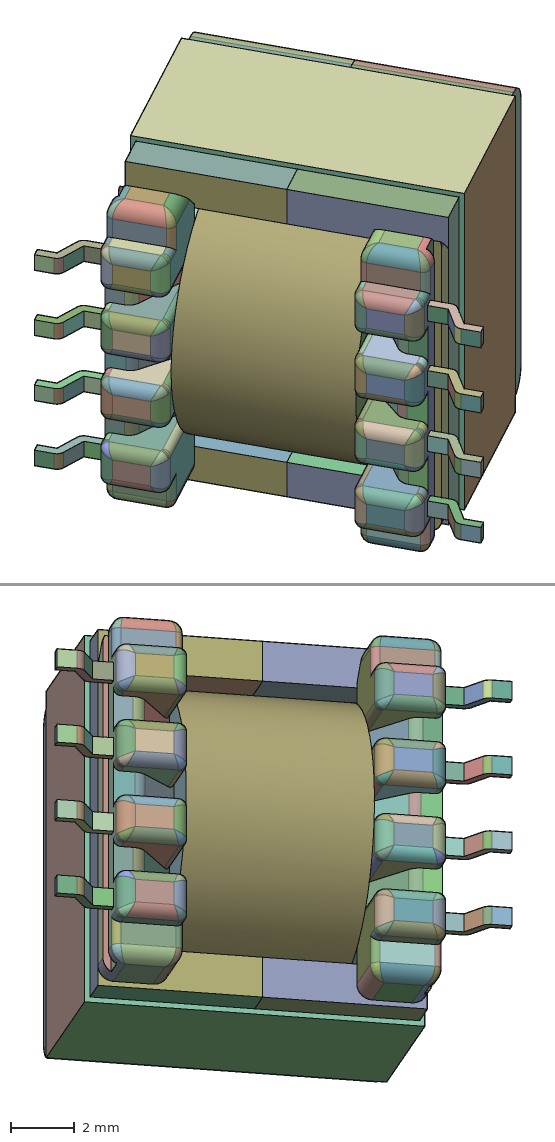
import cadquery as cq
import math


CORE_WIDTH = 10.57
CORE_HEIGHT = 11.78
CORE_FRONT_Y = -1.97
CORE_BACK_Y = 5.93
CORE_BACK_RADIUS = 0.8
CAVITY_RADIUS = 4.57
CAVITY_LENGTH = 8.0
POST_RADIUS = 2.2

TAPE_THICKNESS = 0.18
TAPE_FRONT_Y = -0.82
TAPE_BACK_Y = 4.72
TAPE_WIDTH = CORE_WIDTH + 2 * TAPE_THICKNESS
TAPE_HEIGHT = CORE_HEIGHT + 2 * TAPE_THICKNESS

WINDING_RADIUS = 4.5
WINDING_LENGTH = 6.05
TUBE_RADIUS = 2.6
FLANGE_RADIUS = 4.5

BLOCK_INNER_X = WINDING_LENGTH / 2
BLOCK_OUTER_X = CORE_WIDTH / 2
BLOCK_CENTER_X = (BLOCK_INNER_X + BLOCK_OUTER_X) / 2
BLOCK_LENGTH = BLOCK_OUTER_X - BLOCK_INNER_X
BLOCK_HEIGHT = 11.45
BLOCK_FRONT_Y = -4.18
BLOCK_TOP_CHAMFER = 1.01
BLOCK_END_RADIUS = 0.5
BLOCK_EDGE_RADIUS = 0.25

GROOVE_DEPTH = 0.26
GROOVE_FRONT_Y = -3.49
GROOVE_WIDTH = 0.79

PIN_COUNT = 4
PIN_PITCH = 2.5
PIN_HEIGHTS = [(i - (PIN_COUNT - 1) / 2) * PIN_PITCH for i in range(PIN_COUNT)]
KNOB_HEIGHT = 1.53
KNOB_FRONT_Y = -5.05
KNOB_SIDE_RADIUS = 0.51
KNOB_END_RADIUS = 0.4
KNOB_EDGE_RADIUS = 0.25

SLOT_BEND_X = 4.23
SLOT_BEND_RADIUS = 0.5
OUTER_SLOT_ANGLE = 57
MIDDLE_SLOT_ANGLE = 46

PIN_TIP_X = 7.3
PIN_FRONT_Y = -5.14
PIN_WIDTH = 0.6
PIN_THICKNESS = 0.3
PIN_RISE = 0.9
PIN_BEND_ANGLE = 60
PIN_FOOT_LENGTH = 0.64
PIN_EMBED = 0.44


def box_between(x0, x1, y0, y1, height):
    """Box with the given X and Y limits, centred on Z = 0."""
    return cq.Workplane("XY").box(x1 - x0, y1 - y0, height).translate(((x0 + x1) / 2, (y0 + y1) / 2, 0))


def cylinder_along_x(radius, x0, x1):
    return cq.Workplane("YZ").workplane(offset=x0).circle(radius).extrude(x1 - x0)


def mirrored(body):
    """The same shape on the -X side."""
    return body.mirror("YZ")


def make_core_half():
    """The +X half: a block with a round cavity open to the front and a half post."""
    cavity_depth = CAVITY_LENGTH / 2
    block = box_between(0, CORE_WIDTH / 2, CORE_FRONT_Y, CORE_BACK_Y, CORE_HEIGHT)
    block = block.edges("|X and >Y").fillet(CORE_BACK_RADIUS)
    cavity = cylinder_along_x(CAVITY_RADIUS, 0, cavity_depth)
    opening = box_between(0, cavity_depth, CORE_FRONT_Y, 0, 2 * CAVITY_RADIUS)
    post = cylinder_along_x(POST_RADIUS, 0, cavity_depth)
    return block.cut(cavity).cut(opening).union(post)


def make_tape():
    """A rectangular band around the core."""
    band = box_between(-TAPE_WIDTH / 2, TAPE_WIDTH / 2, TAPE_FRONT_Y, TAPE_BACK_Y, TAPE_HEIGHT)
    core_space = box_between(-CORE_WIDTH / 2, CORE_WIDTH / 2, TAPE_FRONT_Y, TAPE_BACK_Y, CORE_HEIGHT)
    return band.cut(core_space)


def make_winding():
    start = -WINDING_LENGTH / 2
    return cylinder_along_x(WINDING_RADIUS, start, -start).cut(cylinder_along_x(TUBE_RADIUS, start, -start))


def make_block_body():
    """Terminal block with rounded ends, front edges rounded and a chamfered top behind."""
    back_y = CORE_FRONT_Y + BLOCK_END_RADIUS
    body = box_between(BLOCK_INNER_X, BLOCK_OUTER_X, BLOCK_FRONT_Y, back_y, BLOCK_HEIGHT)
    rounded_sides = body.edges("|Y").fillet(BLOCK_END_RADIUS)
    rounded_profile = body.edges("|X").fillet(BLOCK_END_RADIUS)
    body = rounded_profile.intersect(rounded_sides).edges("|Z and <Y").fillet(BLOCK_EDGE_RADIUS)

    block_top = BLOCK_HEIGHT / 2
    top_wedge = (
        cq.Workplane("YZ")
        .moveTo(CORE_FRONT_Y - BLOCK_TOP_CHAMFER, block_top)
        .lineTo(back_y, block_top)
        .lineTo(back_y, block_top - BLOCK_TOP_CHAMFER)
        .lineTo(CORE_FRONT_Y, block_top - BLOCK_TOP_CHAMFER)
        .close()
        .extrude(CORE_WIDTH)
    )
    return body.cut(top_wedge)


def make_slot_cutter(floor_angle, height):
    """Space of a wire slot: its floor slopes back from a rounded bend to the inner side of the block."""
    angle = math.radians(floor_angle)
    arc_center_x = SLOT_BEND_X + SLOT_BEND_RADIUS * math.sin(angle)
    arc_center_y = BLOCK_FRONT_Y + SLOT_BEND_RADIUS

    def arc_point(from_front):
        return (
            arc_center_x - SLOT_BEND_RADIUS * math.sin(from_front),
            arc_center_y - SLOT_BEND_RADIUS * math.cos(from_front),
        )

    bend_end = arc_point(angle)
    inner_y = bend_end[1] + (SLOT_BEND_X - BLOCK_INNER_X) * math.tan(angle)
    return (
        cq.Workplane("XY")
        .moveTo(arc_center_x, BLOCK_FRONT_Y)
        .threePointArc(arc_point(angle / 2), bend_end)
        .lineTo(BLOCK_INNER_X, inner_y)
        .lineTo(BLOCK_INNER_X, BLOCK_FRONT_Y)
        .close()
        .extrude(height / 2, both=True)
    )


def knob_prism(front_y, back_y):
    return box_between(BLOCK_INNER_X, BLOCK_OUTER_X, front_y, back_y, KNOB_HEIGHT)


def make_knob_column():
    """Part of a knob between the wire slots, running back to the core, centred on Z = 0."""
    return knob_prism(BLOCK_FRONT_Y, CORE_FRONT_Y).edges("|Y").fillet(KNOB_EDGE_RADIUS)


def make_knob_head():
    """Rounded part of a knob standing out in front of the block, centred on Z = 0."""
    head = knob_prism(KNOB_FRONT_Y, BLOCK_FRONT_Y)
    rounded_sides = head.edges("|Z and <Y").fillet(KNOB_SIDE_RADIUS)
    rounded_ends = head.edges("|X and <Y").fillet(KNOB_END_RADIUS)
    return rounded_sides.intersect(rounded_ends).edges("|Y").fillet(KNOB_EDGE_RADIUS)


def make_pin():
    """Gull-wing pin bent from a flat strip, centred on Z = 0."""
    angle = math.radians(PIN_BEND_ANGLE)
    sin_bend = math.sin(angle)
    cos_bend = math.cos(angle)
    shank_front_y = PIN_FRONT_Y + PIN_RISE
    foot_back_y = PIN_FRONT_Y + PIN_THICKNESS
    foot_bend_x = PIN_TIP_X - PIN_FOOT_LENGTH
    shank_bend_x = foot_bend_x - (PIN_THICKNESS + (shank_front_y - foot_back_y) * cos_bend) / sin_bend
    root_x = BLOCK_OUTER_X - PIN_EMBED

    def outside_bend(corner_x, corner_y, side, turn):
        """Point on the outer arc around an inner corner; side is +1 for the back, -1 for the front."""
        return (
            corner_x + side * PIN_THICKNESS * math.sin(turn),
            corner_y + side * PIN_THICKNESS * math.cos(turn),
        )

    shank_bend = (shank_bend_x, shank_front_y, 1)
    foot_bend = (foot_bend_x, foot_back_y, -1)
    return (
        cq.Workplane("XY")
        .moveTo(root_x, shank_front_y)
        .lineTo(shank_bend_x, shank_front_y)
        .lineTo(*outside_bend(*foot_bend, angle))
        .threePointArc(outside_bend(*foot_bend, angle / 2), outside_bend(*foot_bend, 0))
        .lineTo(PIN_TIP_X, PIN_FRONT_Y)
        .lineTo(PIN_TIP_X, foot_back_y)
        .lineTo(foot_bend_x, foot_back_y)
        .lineTo(*outside_bend(*shank_bend, angle))
        .threePointArc(outside_bend(*shank_bend, angle / 2), outside_bend(*shank_bend, 0))
        .lineTo(root_x, shank_front_y + PIN_THICKNESS)
        .close()
        .extrude(PIN_WIDTH / 2, both=True)
    )


def make_terminal_block():
    """The +X block with its slots, knob columns, side groove and pins, but without the knob heads."""
    row_height = PIN_HEIGHTS[-1] - PIN_HEIGHTS[0]
    square_front = box_between(BLOCK_INNER_X, BLOCK_OUTER_X, BLOCK_FRONT_Y, CORE_FRONT_Y, row_height)
    block = make_block_body().union(square_front)

    for lower, upper in zip(PIN_HEIGHTS, PIN_HEIGHTS[1:]):
        slot_height = (lower + upper) / 2
        floor_angle = MIDDLE_SLOT_ANGLE if slot_height == 0 else OUTER_SLOT_ANGLE
        block = block.cut(make_slot_cutter(floor_angle, PIN_PITCH).translate((0, 0, slot_height)))

    column = make_knob_column()
    for height in PIN_HEIGHTS:
        block = block.union(column.translate((0, 0, height)))

    groove_floor_x = BLOCK_OUTER_X - GROOVE_DEPTH
    groove_back_y = GROOVE_FRONT_Y + GROOVE_WIDTH
    groove = box_between(groove_floor_x, BLOCK_OUTER_X, GROOVE_FRONT_Y, groove_back_y, BLOCK_HEIGHT)
    core_side = box_between(0, CORE_WIDTH, CORE_FRONT_Y, 0, CORE_HEIGHT)
    block = block.cut(groove).cut(core_side)

    pin = make_pin()
    for height in PIN_HEIGHTS:
        block = block.union(pin.translate((0, 0, height)))
    return block


def make_bobbin():
    """Tube with a flange and a terminal block at each end."""
    flange = cylinder_along_x(FLANGE_RADIUS, BLOCK_INNER_X, CAVITY_LENGTH / 2)
    in_front_of_core = box_between(0, CORE_WIDTH, BLOCK_FRONT_Y - FLANGE_RADIUS, CORE_FRONT_Y, CORE_HEIGHT)
    half_tube = cylinder_along_x(TUBE_RADIUS, 0, CAVITY_LENGTH / 2)
    half = flange.cut(in_front_of_core).union(half_tube).union(make_terminal_block())
    post = cylinder_along_x(POST_RADIUS, -CAVITY_LENGTH / 2, CAVITY_LENGTH / 2)
    spool = half.union(mirrored(half)).cut(post)

    head = make_knob_head()
    heads = []
    for height in PIN_HEIGHTS:
        raised_head = head.translate((0, 0, height))
        heads += [raised_head.val(), mirrored(raised_head).val()]
    bobbin_shape = spool.val().fuse(cq.Compound.makeCompound(heads)).clean()
    return cq.Workplane(bobbin_shape).solids()


core_half = make_core_half()
tape = make_tape()
winding = make_winding()
bobbin = make_bobbin()

result = cq.Compound.makeCompound(
    [core_half.val(), mirrored(core_half).val(), tape.val(), winding.val(), bobbin.val()]
)